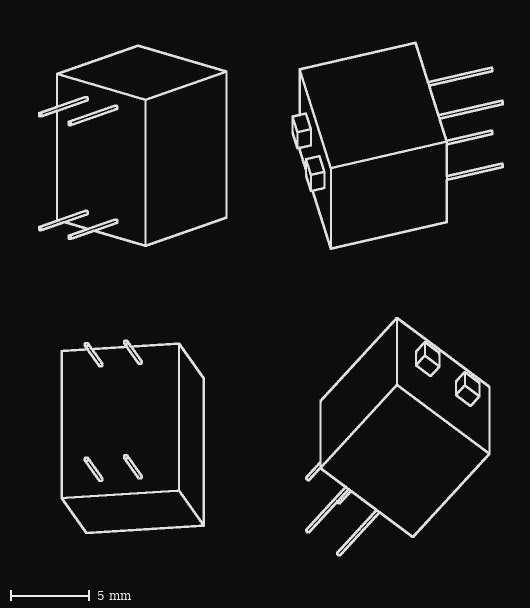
import cadquery as cq

body_width = 7.62
body_depth = 7.62
body_height = 9.78

total_depth = 12.85
button_depth = 0.89
pin_length = total_depth - body_depth - button_depth
pin_diameter = 0.25
pin_pitch_x = 2.55
pin_pitch_z = 7.62

button_width = 1.21
button_height = 1.97
button_pitch = 3.29
button_bottom = 0.03


def make_body():
    return cq.Workplane("XY").box(body_width, body_depth, body_height, centered=(True, False, True))


def make_pins():
    return (
        cq.Workplane("XZ")
        .rarray(pin_pitch_x, pin_pitch_z, 2, 2)
        .circle(pin_diameter / 2)
        .extrude(pin_length)
    )


def make_button(center_x):
    return (
        cq.Workplane("XY")
        .box(button_width, button_depth, button_height, centered=(True, False, False))
        .translate((center_x, body_depth, button_bottom))
    )


result = make_body().union(make_pins())
for side in (-1, 1):
    result = result.union(make_button(side * button_pitch / 2))